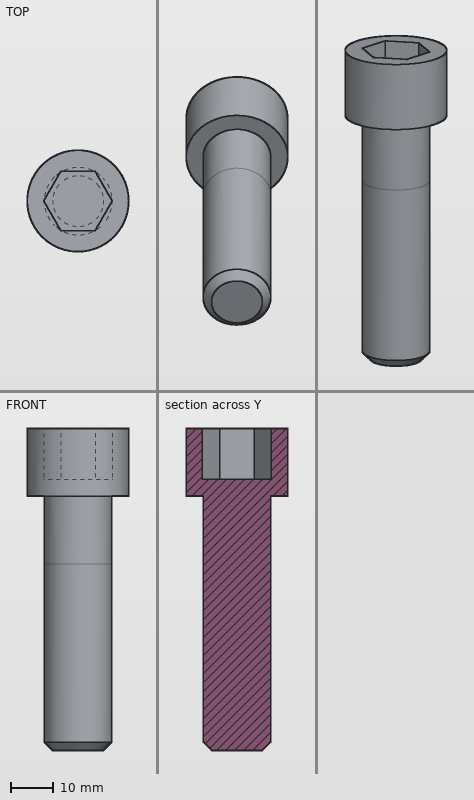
import cadquery as cq
import math

thread_diameter = 16.0
screw_length = 60.0
thread_length = 44.0
head_diameter = 1.5 * thread_diameter
head_height = thread_diameter
socket_across_flats = 14.0
socket_depth = 12.0
socket_sides = 6
tip_chamfer = 2.0

shank_length = screw_length - thread_length


def make_head():
    """Plain cylindrical head sitting on Z = 0."""
    return cq.Workplane("XY").circle(head_diameter / 2).extrude(head_height)


def make_shank():
    """Unthreaded shank just below the head."""
    return cq.Workplane("XY").circle(thread_diameter / 2).extrude(-shank_length)


def make_thread():
    """Threaded length as a plain cylinder with a chamfered tip."""
    thread = (
        cq.Workplane("XY", origin=(0, 0, -shank_length))
        .circle(thread_diameter / 2)
        .extrude(-thread_length)
    )
    return thread.faces("<Z").chamfer(tip_chamfer)


def make_socket():
    """Hexagonal key socket, two corners on the X axis, open at the head top."""
    across_corners = socket_across_flats / math.cos(math.pi / socket_sides)
    return (
        cq.Workplane("XY", origin=(0, 0, head_height))
        .polygon(socket_sides, across_corners)
        .extrude(-socket_depth)
    )


screw_body = make_head().union(make_shank(), clean=False).union(make_thread(), clean=False)
result = screw_body.cut(make_socket(), clean=False)